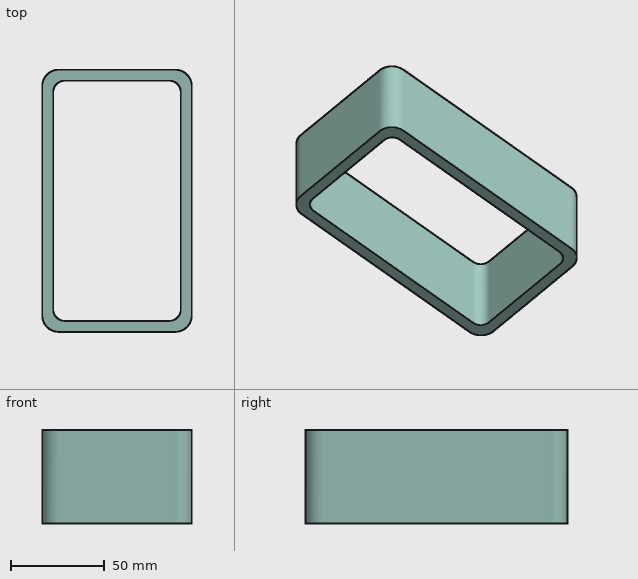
import cadquery as cq

length = 140.0
width = 80.0
height = 50.0

wall = 6.0
outer_corner_radius = 9.0
inner_corner_radius = 6.0


def rounded_block(size_x, size_y, corner_radius):
    """Full-height block with rounded vertical edges, standing on Z = 0."""
    block = cq.Workplane("XY").rect(size_x, size_y).extrude(height)
    return block.edges("|Z").fillet(corner_radius)


outer_body = rounded_block(width, length, outer_corner_radius)

opening = rounded_block(width - 2 * wall, length - 2 * wall, inner_corner_radius)

result = outer_body.cut(opening)